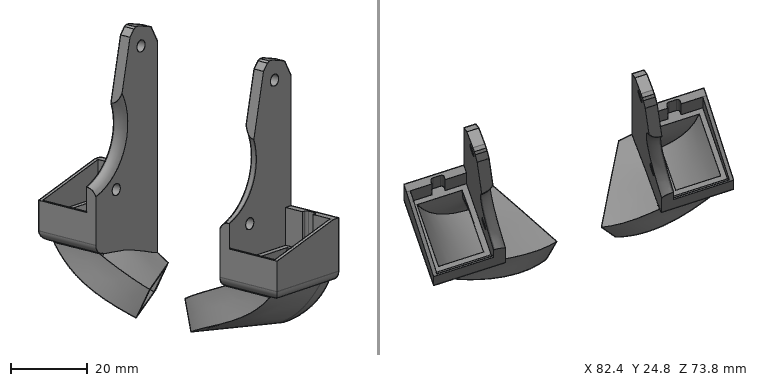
import cadquery as cq
import math


outer_x = -41.2
inner_x = -21.4
depth = 24.5
box_bottom = 15.2
ledge_z = 22.1
front_wall_top = 26.2
back_wall_top = 32.4
bottom_radius = 2.7
side_wall = 1.1
front_wall = 2.0
front_rim = 0.4
back_wall = 2.2
pocket_back_y = depth - back_wall

groove_x = -32.4
groove_width = 3.6
groove_depth = 1.5
groove_radius = 0.75

plate_thickness = 3.3
plate_x = inner_x - plate_thickness
plate_top = 73.75
plate_outline = [
    (0, box_bottom + bottom_radius),
    (depth, box_bottom + bottom_radius),
    (depth, 67.8),
    (21.9, 72.35),
    (17.0, plate_top),
    (15.8, plate_top),
    (15.1, 73.3),
    (13.5, 71.4),
    (8.5, 48.2),
    (0, 48.2),
]
screw_diameter = 3.2
screw_centres = [(17.9, 68.1), (8.1, 31.2)]

notch_y = -5.3
notch_z = 48.2
notch_radius = 16.0
notch_rounding = 3.4
notch_land = 0.25

outlet_angle = math.radians(60.5)
outlet_height = 8.15
uncut_height = 9.9
lower_tip = (-9.5, 2.2)
upper_tip = (-6.3, 4.0)
duct_wall = 0.6
duct_front_wall = 1.65

roof_arch = [(-0.8, 15.3), (4.1, 14.8), (12.9, 13.7), (17.3, 12.5), (22.75, 10.7), (25.55, 10.05)]
roof_slope = 0.46
eave_overhang = 1.65
cut_margin = 1.1
cutter_height = 16.5

hole_left = -38.7
hole_right = -26.4
hole_front = 3.3
hole_back = 20.9

back_lower_y = 21.4
back_upper_y = 23.2


def outlet_point(tip, y, z):
    """Point at the given Y on the outlet edge that starts at tip, at height z."""
    return (tip[0] - (y - tip[1]) / math.tan(outlet_angle), y, z)


def outlet_plane_point(y, z):
    """Point of the outlet plane at the given Y and height z."""
    share = z / outlet_height
    tip = [low + share * (high - low) for low, high in zip(lower_tip, upper_tip)]
    return outlet_point(tip, y, z)


def rail_solid(rails):
    """Solid bounded by ruled faces between neighbouring rails and by two flat ends."""
    edges = [cq.Edge.makeSpline([cq.Vector(*p) for p in rail]) for rail in rails]
    faces = [cq.Face.makeRuledSurface(a, b) for a, b in zip(edges, edges[1:] + edges[:1])]
    for end in (0, -1):
        corners = [cq.Vector(*rail[end]) for rail in rails]
        faces.append(cq.Face.makeFromWires(cq.Wire.makePolygon(corners, close=True)))
    solid = cq.Solid.makeSolid(cq.Shell.makeShell(faces))
    return cq.Workplane(solid.fix())


def make_duct():
    front_upper = [
        (inner_x, 1.7, box_bottom),
        (-14.3, 2.1, 13.6),
        outlet_plane_point(upper_tip[1], uncut_height),
    ]
    front_lower = [
        (-37.3, 1.6, box_bottom),
        (-28.8, 0.3, 8.4),
        (-21.35, -0.25, 5.0),
        (*lower_tip, 0),
    ]
    crease = [(-37.9, 21.6, box_bottom), (-30.7, 20.7, 5.6), outlet_point(lower_tip, 22.25, 0)]
    back_lower = [
        (-38.15, depth, box_bottom),
        (-34.1, depth, 8.9),
        (-28.1, depth, 3.5),
        outlet_point(lower_tip, depth, 0),
    ]
    back_upper_end = outlet_plane_point(depth, uncut_height)
    back_upper = [
        (inner_x, depth, box_bottom),
        ((inner_x + back_upper_end[0]) / 2, depth, (box_bottom + uncut_height) / 2),
        back_upper_end,
    ]
    body = rail_solid([front_upper, front_lower, crease, back_lower, back_upper])
    return body.cut(make_roof_cutter())


def make_roof_cutter():
    """Space above the duct's roof, which slopes from an arched line on the plate to the outlet."""
    arch = [(inner_x, y, z) for y, z in roof_arch]
    eave = []
    for y in (arch[0][1], depth + cut_margin):
        edge_x, edge_y, edge_z = outlet_point(upper_tip, y, outlet_height)
        eave.append((edge_x + eave_overhang, edge_y, edge_z - eave_overhang * roof_slope))
    raised_eave = [(x, y, z + cutter_height) for x, y, z in eave]
    raised_arch = [(x, y, z + cutter_height) for x, y, z in arch]
    return rail_solid([arch, eave, raised_eave, raised_arch])


def make_passage():
    top = outlet_height - duct_wall
    front_upper = [
        (hole_right, hole_front, ledge_z),
        (-18.95, 3.1, 12.5),
        outlet_plane_point(upper_tip[1] + duct_front_wall, top),
    ]
    front_lower = [
        (hole_left, hole_front, ledge_z),
        (-26.4, 2.5, 8.15),
        outlet_plane_point(lower_tip[1] + duct_front_wall, duct_wall),
    ]
    back_lower = [
        (hole_left, hole_back, ledge_z),
        (-30.1, 19.9, 7.1),
        outlet_plane_point(back_lower_y, duct_wall),
    ]
    back_upper = [
        (hole_right, hole_back, ledge_z),
        (-23.1, 20.6, 9.9),
        outlet_plane_point(back_upper_y, top),
    ]
    return rail_solid([front_upper, front_lower, back_lower, back_upper])


def make_box():
    width = inner_x - outer_x
    box = (
        cq.Workplane("YZ", origin=(outer_x, 0, 0))
        .moveTo(0, box_bottom)
        .lineTo(depth, box_bottom)
        .lineTo(depth, back_wall_top)
        .lineTo(pocket_back_y, back_wall_top)
        .lineTo(0, front_wall_top)
        .close()
        .extrude(width)
    )
    box = box.faces("<Z").edges("<X or <Y").fillet(bottom_radius)
    pocket_height = back_wall_top - ledge_z
    pocket = (
        cq.Workplane("YZ", origin=(outer_x + side_wall, 0, 0))
        .moveTo(front_wall, ledge_z)
        .lineTo(pocket_back_y, ledge_z)
        .lineTo(pocket_back_y, back_wall_top)
        .lineTo(front_rim, back_wall_top)
        .lineTo(front_rim, front_wall_top)
        .close()
        .extrude(plate_x - outer_x - side_wall)
    )
    groove = (
        cq.Workplane("XY")
        .box(groove_width, 2 * groove_depth, pocket_height, centered=(True, True, False))
        .edges("|Z")
        .fillet(groove_radius)
        .translate((groove_x, pocket_back_y, ledge_z))
    )
    return box.cut(pocket).cut(groove)


def make_notch():
    arc_start = plate_x + notch_land
    reach = inner_x - arc_start

    def rounded_radius(x_offset):
        return notch_radius + notch_rounding - math.sqrt(notch_rounding**2 - x_offset**2)

    return (
        cq.Workplane("XY", origin=(0, notch_y, notch_z))
        .moveTo(plate_x, 0)
        .lineTo(plate_x, notch_radius)
        .lineTo(arc_start, notch_radius)
        .threePointArc(
            (arc_start + reach / 2, rounded_radius(reach / 2)),
            (inner_x, rounded_radius(reach)),
        )
        .lineTo(inner_x, 0)
        .close()
        .revolve(360, (0, 0, 0), (1, 0, 0))
    )


def make_plate():
    plate = cq.Workplane("YZ", origin=(plate_x, 0, 0)).polyline(plate_outline).close()
    return plate.extrude(plate_thickness)


def make_bracket():
    screw_holes = (
        cq.Workplane("YZ", origin=(plate_x, 0, 0))
        .pushPoints(screw_centres)
        .circle(screw_diameter / 2)
        .extrude(plate_thickness)
    )
    bracket = make_box().union(make_plate()).cut(make_notch()).cut(screw_holes)
    return bracket.union(make_duct()).cut(make_passage())


left_bracket = make_bracket()
right_bracket = left_bracket.mirror("YZ")

result = cq.Compound.makeCompound([left_bracket.val(), right_bracket.val()])